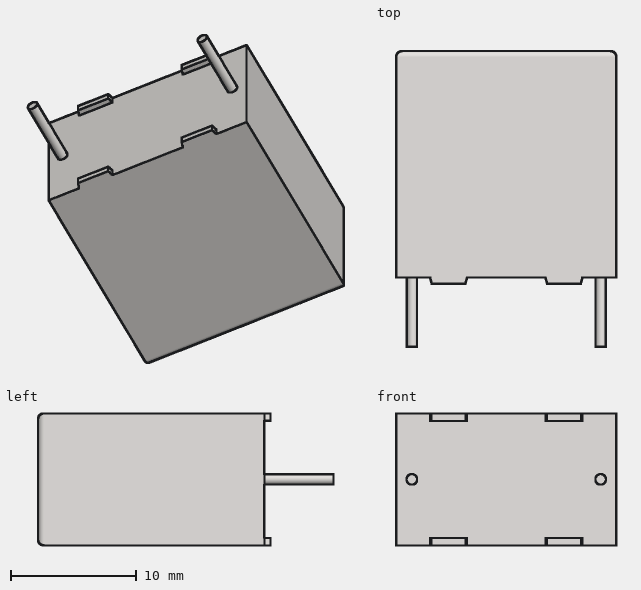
import cadquery as cq


overall_length = 23.5
case_width = 17.5
case_height = 10.5

lead_length = 5.5
lead_diameter = 0.85
lead_pitch = 15.0

case_depth = overall_length - lead_length
back_edge_radius = 0.5

foot_base_width = 2.95
foot_side_taper = 0.15
foot_projection = 0.5
foot_thickness = 0.6
foot_pitch = 9.16


def make_foot(x_center, z_bottom):
    """Tapered standoff foot, widest where it joins the lead face."""
    half_base = foot_base_width / 2
    half_tip = half_base - foot_side_taper
    return (
        cq.Workplane("XY", origin=(x_center, 0, z_bottom))
        .moveTo(-half_base, 0)
        .lineTo(-half_tip, -foot_projection)
        .lineTo(half_tip, -foot_projection)
        .lineTo(half_base, 0)
        .close()
        .extrude(foot_thickness)
    )


def make_case():
    """Block with rounded back edges and four feet flush with its top and bottom."""
    case = (
        cq.Workplane("XY")
        .box(case_width, case_depth, case_height, centered=(True, False, True))
        .faces(">Y")
        .edges()
        .fillet(back_edge_radius)
    )
    lower_foot_z = -case_height / 2
    upper_foot_z = case_height / 2 - foot_thickness
    for x_center in (-foot_pitch / 2, foot_pitch / 2):
        for z_bottom in (lower_foot_z, upper_foot_z):
            case = case.union(make_foot(x_center, z_bottom))
    return case


def make_lead(x_center):
    """Straight round lead that ends on the lead face."""
    return (
        cq.Workplane("XZ", origin=(x_center, 0, 0))
        .circle(lead_diameter / 2)
        .extrude(lead_length)
    )


case = make_case()
leads = [make_lead(x_center).val() for x_center in (-lead_pitch / 2, lead_pitch / 2)]

result = cq.Compound.makeCompound([case.val(), *leads])